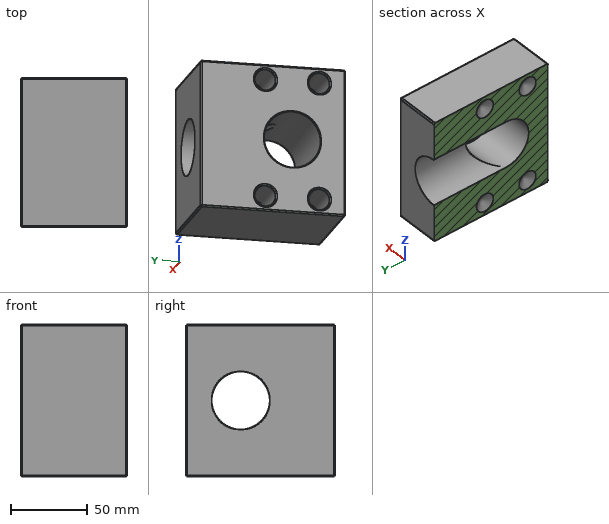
import cadquery as cq
import math

length_x = 70.0
width_y = 98.0
height_z = 100.0
edge_chamfer = 1.0

bore_diameter = 38.0
bore_radius = bore_diameter / 2
bore_axis_y = -13.0
bore_mouth_chamfer = 0.5

bolt_radius = 14.0 / 2
bolt_mouth_chamfer = 1.0
bolt_depth = 35.0
bolt_pitch_y = 36.5
bolt_pitch_z = 79.3
drill_point_angle = 118.0
drill_point_length = bolt_radius / math.tan(math.radians(drill_point_angle / 2))

entry_x = -length_x / 2
x_direction = cq.Vector(1, 0, 0)


def make_block():
    """Rectangular block with every outer edge chamfered."""
    block = cq.Workplane("XY").box(length_x, width_y, height_z)
    return block.edges().chamfer(edge_chamfer)


def mouth_cone(radius, chamfer, y, z):
    """45 degree chamfer cutter at the mouth of a hole in the -X face."""
    mouth = cq.Vector(entry_x, y, z)
    return cq.Solid.makeCone(radius + chamfer, radius, chamfer, mouth, x_direction)


def cut_main_bore(body):
    """Bore through the whole block along X, chamfered on the -X face."""
    start = cq.Vector(entry_x, bore_axis_y, 0)
    bore = cq.Solid.makeCylinder(bore_radius, length_x, start, x_direction)
    return body.cut(bore).cut(mouth_cone(bore_radius, bore_mouth_chamfer, bore_axis_y, 0))


def cut_cross_bore(body):
    """Bore along Y from the axis of the X bore out through the +Y face."""
    start = cq.Vector(0, bore_axis_y, 0)
    bore_length = width_y / 2 - bore_axis_y
    return body.cut(cq.Solid.makeCylinder(bore_radius, bore_length, start, cq.Vector(0, 1, 0)))


def cut_bolt_hole(body, y, z):
    """Blind hole in the -X face with a chamfered mouth and a drill-point bottom."""
    start = cq.Vector(entry_x, y, z)
    point_start = start + x_direction * bolt_depth
    shank = cq.Solid.makeCylinder(bolt_radius, bolt_depth, start, x_direction)
    point = cq.Solid.makeCone(bolt_radius, 0, drill_point_length, point_start, x_direction)
    return body.cut(shank).cut(point).cut(mouth_cone(bolt_radius, bolt_mouth_chamfer, y, z))


result = make_block()
result = cut_main_bore(result)
result = cut_cross_bore(result)
for side_y in (-1, 1):
    for side_z in (-1, 1):
        hole_y = bore_axis_y + side_y * bolt_pitch_y / 2
        hole_z = side_z * bolt_pitch_z / 2
        result = cut_bolt_hole(result, hole_y, hole_z)